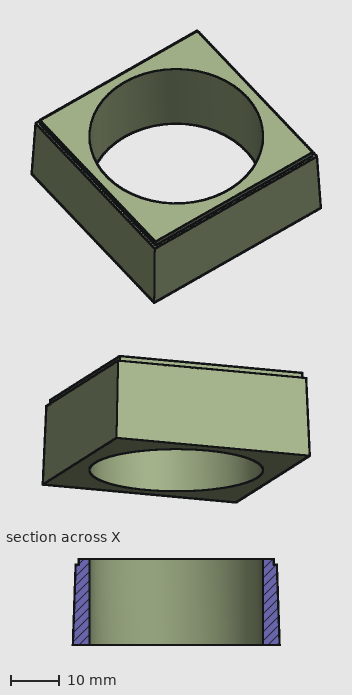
import cadquery as cq

base_width = 42.4
total_height = 17.7

shoulder_width = 41.25
lip_height = 1.2
body_height = total_height - lip_height

lip_width = 40.0

bore_diameter = 35.6


def tapered_body():
    """Square block whose four sides lean inward toward the top."""
    return (
        cq.Workplane("XY")
        .rect(base_width, base_width)
        .workplane(offset=body_height)
        .rect(shoulder_width, shoulder_width)
        .loft(ruled=True)
    )


def add_lip(body):
    """Raise a slightly smaller square step from the top of the body."""
    return body.faces(">Z").workplane().rect(lip_width, lip_width).extrude(lip_height)


def cut_bore(body):
    """Cut the central round opening from top to bottom."""
    return body.faces(">Z").workplane().hole(bore_diameter)


result = cut_bore(add_lip(tapered_body()))